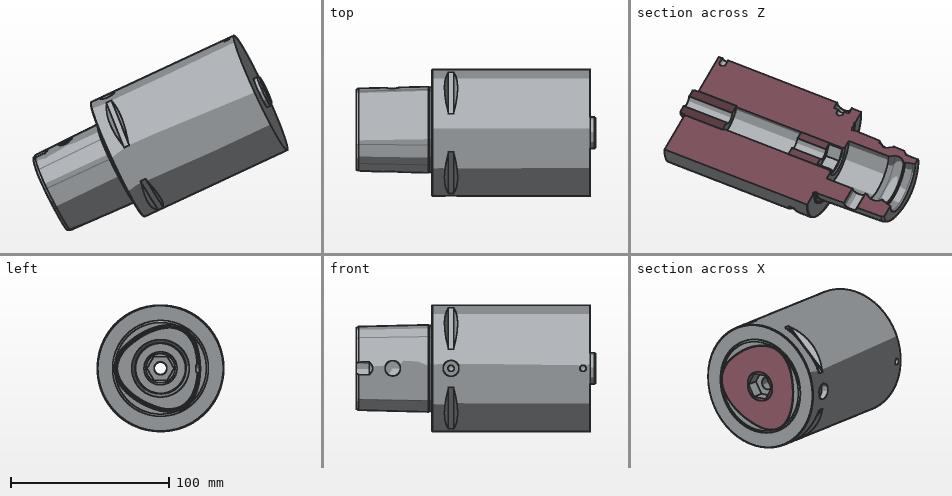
import cadquery as cq
import math

total_length = 151.6

holder_radius = 40.0
holder_start = 47.9
holder_end = 148.0
holder_chamfer = 0.5

shank_root_radius = 27.3
shank_taper = 1 / 40
lobe_height = 2.0
lobe_angles = (60, 180, 300)
lobe_spacing = 120
spline_spans = 4
lobe_half_angle = 18
shank_end_chamfer = 1.8
shank_chamfer_inset = 0.9
shank_taper_end = 45.8
neck_start = 46.2
neck_inset = 0.5
neck_flare = 0.5

relief_outer_radius = 30.3
relief_inner_radius = 29.0
relief_depth = 0.8

bore_mouth_radius = 18.2
bore_throat_radius = 17.5
bore_mouth_chamfer = 1.5
lip_radius = 15.8
lip_start = 6.2
lip_chamfer = 0.5
lip_end = 7.3
clamp_groove_radius = 18.5
clamp_groove_middle = 11.2
clamp_groove_end_radius = 17.9
clamp_groove_end = 14.5
bore_radius = 16.0
bore_start = 17.7
bore_floor = 45.5

screw_radius = 10.0
thread_mouth_radius = 10.5
thread_minor_radius = 9.2
thread_mouth_chamfer = 1.2
coolant_radius = 4.0
hex_across_flats = 14.9
hex_depth = 9.1
socket_screw_end = 75.8
end_screw_start = 121.3
screw_tip_radius = 9.1
screw_tip_chamfer = 1.2

slot_centre = 60.0
slot_floor_distance = 35.5
slot_floor_width = 3.6
slot_step = 0.6
slot_mouth_width = 8.3
slot_angles = (45, 135, 225, 315)

drill_point_angle = 118
chip_radius = 5.0
chip_depth = 4.5
chip_pilot_radius = 2.0
chip_pilot_depth = 3.0
dimple_centre = 23.2
dimple_radius = 4.9
dimple_floor = 24.0
wall_hole_radius = 4.4
end_hole_centre = 143.4
end_hole_radius = 2.0
end_hole_depth = 4.5
notch_radius = 5.2
notch_offset = 27.3
notch_depth = 8.3
notch_point_angle = 90


def revolved(profile):
    """Turn a list of (x, radius) points about the X axis."""
    return cq.Workplane("XY").polyline(profile).close().revolve(360, (0, 0, 0), (1, 0, 0))


def lobe_point(x, radius, degrees):
    """Point of the three-lobed trochoid; angle 0 is the middle of the flat facing -Y."""
    a = math.radians(degrees)
    y = -radius * math.cos(a) + lobe_height * math.cos(2 * a)
    z = radius * math.sin(a) + lobe_height * math.sin(2 * a)
    return cq.Vector(x, y, z)


def lobe_tangent(radius, degrees):
    """Direction of the trochoid at the same angle."""
    a = math.radians(degrees)
    y = radius * math.sin(a) - 2 * lobe_height * math.sin(2 * a)
    z = radius * math.cos(a) + 2 * lobe_height * math.cos(2 * a)
    return cq.Vector(0, y, z)


def lobe_wire(x, radius):
    """Closed three-lobed outline with one lobe toward +Y, split at the ends of each lobe."""
    edges = []
    for lobe in lobe_angles:
        flat_end = lobe + lobe_spacing - lobe_half_angle
        for start, end in (
            (lobe - lobe_half_angle, lobe + lobe_half_angle),
            (lobe + lobe_half_angle, flat_end),
        ):
            step = (end - start) / spline_spans
            points = [lobe_point(x, radius, start + step * i) for i in range(spline_spans + 1)]
            tangents = [lobe_tangent(radius, start), lobe_tangent(radius, end)]
            edges.append(cq.Edge.makeSpline(points, tangents))
    return cq.Wire.assembleEdges(edges)


def shank_radius(x):
    return shank_root_radius - shank_taper * (shank_taper_end - x)


def make_shank():
    """Chamfered end, taper, neck and flared foot, sunk into the holder to the relief floor."""
    neck_radius = shank_radius(shank_taper_end) - neck_inset
    stations = (
        (0, shank_radius(0) - shank_chamfer_inset),
        (shank_end_chamfer, shank_radius(shank_end_chamfer)),
        (shank_taper_end, shank_radius(shank_taper_end)),
        (neck_start, neck_radius),
        (holder_start - neck_flare, neck_radius),
        (holder_start, neck_radius + neck_flare),
        (holder_start + relief_depth, neck_radius + neck_flare),
    )
    wires = [lobe_wire(x, radius) for x, radius in stations]
    return cq.Workplane(cq.Solid.makeLoft(wires, True))


def make_holder_cylinder():
    cylinder = cq.Workplane("YZ", (holder_start, 0, 0)).circle(holder_radius)
    cylinder = cylinder.extrude(holder_end - holder_start)
    return cylinder.faces("<X").chamfer(holder_chamfer)


def relief_groove():
    return revolved([
        (holder_start, relief_inner_radius),
        (holder_start, relief_outer_radius),
        (holder_start + relief_depth, relief_outer_radius),
    ])


def bore():
    """Stepped bore: conical mouth, lip, round-bottomed clamping groove and cylinder."""
    profile = (
        cq.Workplane("XY")
        .lineTo(0, bore_mouth_radius)
        .lineTo(bore_mouth_chamfer, bore_throat_radius)
        .lineTo(lip_start, lip_radius + lip_chamfer)
        .lineTo(lip_start + lip_chamfer, lip_radius)
        .lineTo(lip_end, lip_radius)
        .threePointArc(
            (clamp_groove_middle, clamp_groove_radius), (clamp_groove_end, clamp_groove_end_radius)
        )
        .lineTo(bore_start, bore_radius)
        .lineTo(bore_floor, bore_radius)
        .lineTo(bore_floor, 0)
        .close()
    )
    return profile.revolve(360, (0, 0, 0), (1, 0, 0))


def drill(start, direction, radius, depth, point_angle=drill_point_angle):
    """Drilled hole with a conical point; depth is measured to where the point begins."""
    point_depth = radius / math.tan(math.radians(point_angle / 2))
    start = cq.Vector(*start)
    direction = cq.Vector(*direction)
    barrel = cq.Solid.makeCylinder(radius, depth, start, direction)
    point = cq.Solid.makeCone(radius, 0, point_depth, start + direction * depth, direction)
    return barrel.fuse(point)


def gripper_slot(angle):
    """Slot across the holder with short upright walls, then flaring toward the mouth."""
    step_distance = slot_floor_distance + slot_step
    floor = slot_floor_width / 2
    mouth = slot_mouth_width / 2
    profile = [
        (slot_centre - floor, slot_floor_distance),
        (slot_centre + floor, slot_floor_distance),
        (slot_centre + floor, step_distance),
        (slot_centre + mouth, holder_radius),
        (slot_centre - mouth, holder_radius),
        (slot_centre - floor, step_distance),
    ]
    slot = cq.Workplane("XZ").polyline(profile).close().extrude(holder_radius, both=True)
    return slot.rotate((0, 0, 0), (1, 0, 0), angle)


def thread_hole():
    """Hole from the bore floor to the holder end: chamfered, then wider for the end screw."""
    return revolved([
        (bore_floor, 0),
        (bore_floor, thread_mouth_radius),
        (bore_floor + thread_mouth_chamfer, thread_minor_radius),
        (end_screw_start, thread_minor_radius),
        (end_screw_start, screw_radius),
        (holder_end, screw_radius),
        (holder_end, 0),
    ])


def radial_holes():
    """Holes drilled toward +Y, and the plain hole through the shank wall on the +Y side."""
    toward_y = (0, 1, 0)
    chip_floor = chip_depth - holder_radius
    chip_pocket = cq.Solid.makeCylinder(
        chip_radius, chip_depth, cq.Vector(slot_centre, -holder_radius, 0), cq.Vector(*toward_y)
    )
    wall_hole = cq.Solid.makeCylinder(
        wall_hole_radius, holder_radius, cq.Vector(dimple_centre, 0, 0), cq.Vector(*toward_y)
    )
    dimple_start = (dimple_centre, -holder_radius, 0)
    end_hole_start = (end_hole_centre, -holder_radius, 0)
    return [
        chip_pocket,
        wall_hole,
        drill((slot_centre, chip_floor, 0), toward_y, chip_pilot_radius, chip_pilot_depth),
        drill(dimple_start, toward_y, dimple_radius, holder_radius - dimple_floor),
        drill(end_hole_start, toward_y, end_hole_radius, end_hole_depth),
    ]


def key_notch():
    """Hole drilled along X that breaks out through the -Y flat of the shank."""
    return drill((0, -notch_offset, 0), (1, 0, 0), notch_radius, notch_depth, notch_point_angle)


def make_housing():
    body = make_shank().union(make_holder_cylinder().cut(relief_groove()))
    body = body.cut(bore()).cut(thread_hole())
    for angle in slot_angles:
        body = body.cut(gripper_slot(angle))
    for hole in [*radial_holes(), key_notch()]:
        body = body.cut(cq.Workplane(hole))
    return body


def make_socket_screw():
    """Screw with a hexagon socket and coolant hole, just behind the bore floor."""
    start = bore_floor + thread_mouth_chamfer
    screw = cq.Workplane("YZ", (start, 0, 0)).circle(thread_minor_radius).circle(coolant_radius)
    screw = screw.extrude(socket_screw_end - start)
    hex_corner_diameter = hex_across_flats / math.cos(math.radians(30))
    socket = cq.Workplane("YZ", (start, 0, 0)).polygon(6, hex_corner_diameter).extrude(hex_depth)
    return screw.cut(socket)


def make_end_screw():
    """Screw with a coolant hole and chamfered tip that stands out of the holder end."""
    screw = cq.Workplane("YZ", (end_screw_start, 0, 0)).circle(screw_radius)
    screw = screw.extrude(total_length - end_screw_start)
    screw = screw.faces(">X").chamfer(screw_tip_chamfer, screw_radius - screw_tip_radius)
    return screw.faces(">X").workplane().circle(coolant_radius).cutThruAll()


housing = make_housing()
socket_screw = make_socket_screw()
end_screw = make_end_screw()
result = cq.Compound.makeCompound([housing.val(), socket_screw.val(), end_screw.val()])